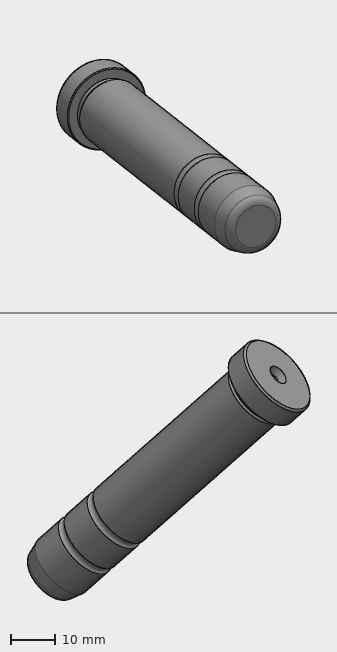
import cadquery as cq
import math

length = 80.0
head_radius = 10.0
head_length = 6.0
head_front_chamfer = 0.5
head_back_chamfer = 0.2

shaft_radius = 8.0
shaft_start = 8.0
shaft_chamfer = 0.5
neck_radius = 7.5

groove_centers = (56.0, 66.0)
groove_width = 2.0
groove_depth = 0.7

nose_start = 75.0
nose_angle = math.radians(15)
nose_fillet = 2.0

center_mouth_radius = 2.4
center_bore_radius = 1.4
center_bore_end = 4.8
center_cone_half_angle = math.radians(30)
drill_tip_half_angle = math.radians(60)


def turned_body():
    """Revolve the half outline of head, neck, grooved shaft and tapered nose."""
    nose_radius = shaft_radius - (length - nose_start) * math.tan(nose_angle)
    outline = (
        cq.Workplane("XY")
        .lineTo(0, head_radius - head_front_chamfer)
        .lineTo(head_front_chamfer, head_radius)
        .lineTo(head_length - head_back_chamfer, head_radius)
        .lineTo(head_length, head_radius - head_back_chamfer)
        .lineTo(head_length, neck_radius)
        .lineTo(shaft_start - shaft_chamfer, neck_radius)
        .lineTo(shaft_start, shaft_radius)
    )
    for center in groove_centers:
        outline = outline.lineTo(center - groove_width / 2, shaft_radius).threePointArc(
            (center, shaft_radius - groove_depth),
            (center + groove_width / 2, shaft_radius),
        )
    outline = (
        outline.lineTo(nose_start, shaft_radius)
        .lineTo(length, nose_radius)
        .lineTo(length, 0)
        .close()
    )
    body = outline.revolve(360, (0, 0, 0), (1, 0, 0))
    return body.faces(">X").edges().fillet(nose_fillet)


def center_hole():
    """Conical center hole in the head face, ending in a pointed pilot bore."""
    cone_depth = (center_mouth_radius - center_bore_radius) / math.tan(center_cone_half_angle)
    tip_depth = center_bore_radius / math.tan(drill_tip_half_angle)
    return (
        cq.Workplane("XY")
        .lineTo(0, center_mouth_radius)
        .lineTo(cone_depth, center_bore_radius)
        .lineTo(center_bore_end, center_bore_radius)
        .lineTo(center_bore_end + tip_depth, 0)
        .close()
        .revolve(360, (0, 0, 0), (1, 0, 0))
    )


result = turned_body().cut(center_hole())